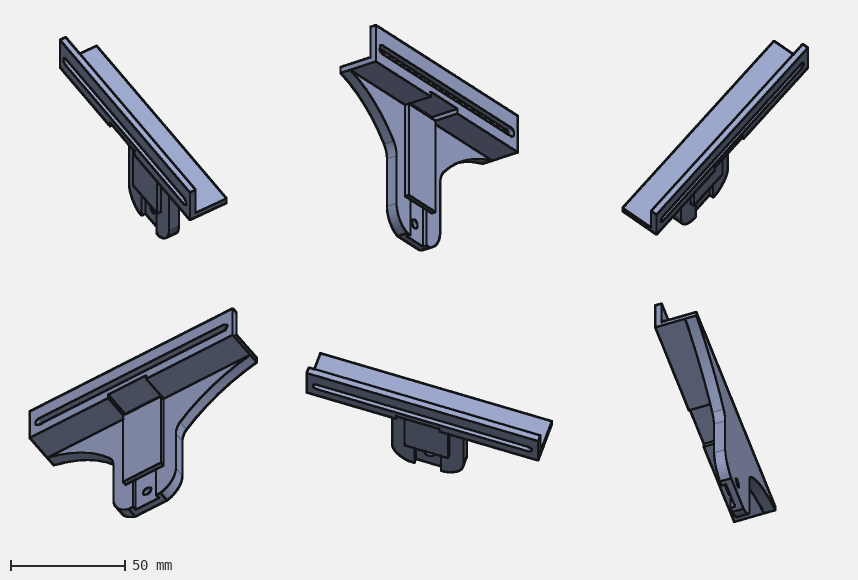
import cadquery as cq
import math

bar_length = 107.0
bar_depth = 19.0
bar_height = 18.0
bar_thickness = 3.0
total_height = 80.5
shelf_bottom = total_height - bar_height

slot_length = 101.0
slot_width = 4.2
slot_z = 70.4

arm_x = -2.1
arm_width = 33.0
arm_thickness = 5.2
arm_front = bar_depth - arm_thickness
tip_radius = 12.0
tip_center_z = 11.3
left_shoulder_radius = 64.2
right_shoulder_radius = 77.0
shoulder_end_z = 41.1
shoulder_end_offset = 2.1
neck_radius = 10.1
neck_bottom_z = 34.8

channel_width = 12.2
channel_depth = 2.0
hole_diameter = 4.2
hole_z = 8.7

plate_width = 20.0
plate_thickness = 2.0
plate_bottom = 17.4
relief_height = 2.4


def box(x_center, width, y_front, depth, z_bottom, height):
    """Box centred on x_center, starting at the given front and bottom."""
    return cq.Workplane("XY").box(width, depth, height, centered=(True, False, False)).translate(
        (x_center, y_front, z_bottom)
    )


def through_y(sketch_x, sketch_z):
    """Workplane facing +Y at the front of the bar, so local x is -X and local y is Z."""
    return cq.Workplane(cq.Plane((sketch_x, 0, sketch_z), (-1, 0, 0), (0, 1, 0)))


def make_angle_bar():
    web = box(0, bar_length, 0, bar_thickness, shelf_bottom, bar_height)
    shelf = box(0, bar_length, 0, bar_depth, shelf_bottom, bar_thickness)
    slot = through_y(0, slot_z).slot2D(slot_length, slot_width).extrude(bar_thickness)
    relief = box(arm_x, plate_width, 0, arm_front, shelf_bottom, relief_height)
    return web.union(shelf).cut(slot).cut(relief)


def make_arm():
    half_bar = bar_length / 2
    left = arm_x - arm_width / 2
    right = arm_x + arm_width / 2
    tip_inset = tip_radius - math.sqrt(tip_radius**2 - tip_center_z**2)
    outline = (
        cq.Workplane("XZ", origin=(0, bar_depth, 0))
        .moveTo(-half_bar, shelf_bottom)
        .radiusArc((left - shoulder_end_offset, shoulder_end_z), left_shoulder_radius)
        .radiusArc((left, neck_bottom_z), neck_radius)
        .lineTo(left, tip_center_z)
        .radiusArc((left + tip_inset, 0), -tip_radius)
        .lineTo(right - tip_inset, 0)
        .radiusArc((right, tip_center_z), -tip_radius)
        .lineTo(right, neck_bottom_z)
        .radiusArc((right + shoulder_end_offset, shoulder_end_z), neck_radius)
        .radiusArc((half_bar, shelf_bottom), right_shoulder_radius)
        .close()
    )
    channel = box(arm_x, channel_width, arm_front, channel_depth, 0, shelf_bottom)
    hole = through_y(arm_x, hole_z).circle(hole_diameter / 2).extrude(bar_depth)
    return outline.extrude(arm_thickness).cut(channel).cut(hole)


def make_bracket():
    return make_angle_bar().union(make_arm())


def make_cover_plate():
    plate_height = shelf_bottom - plate_bottom
    return box(arm_x, plate_width, arm_front - plate_thickness, plate_thickness, plate_bottom, plate_height)


bracket = make_bracket()
cover_plate = make_cover_plate()

result = cq.Compound.makeCompound([bracket.val(), cover_plate.val()])